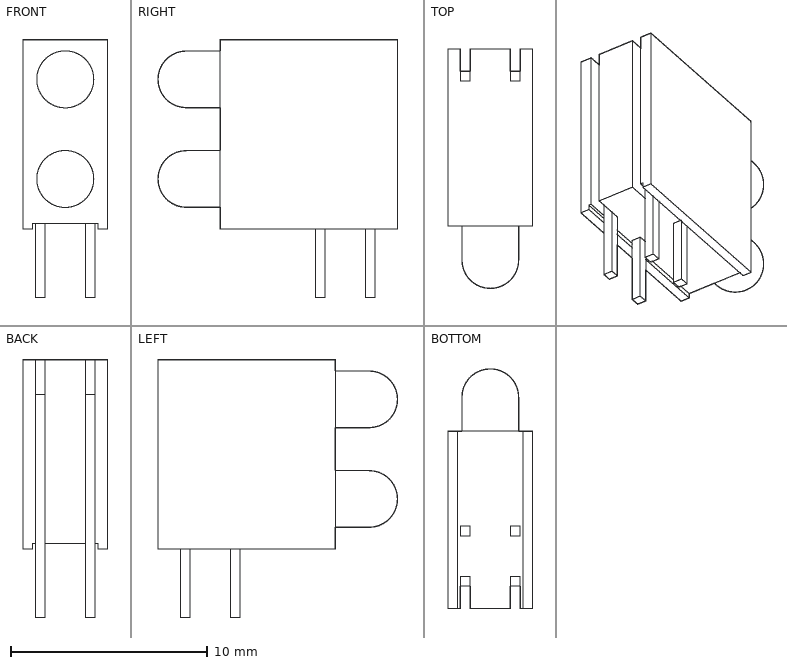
import cadquery as cq


width = 4.33
total_depth = 12.22
total_height = 13.15

led_diameter = 2.9
led_radius = led_diameter / 2
led_barrel = 1.72
led_pitch = 5.08
upper_led_below_top = 2.03

lead_size = 0.5
lead_pitch = 2.55
rear_lead_inset = 1.15

housing_height = 9.65
housing_depth = total_depth - led_barrel - led_radius
foot_width = 0.5
foot_height = 0.28
slot_depth = rear_lead_inset + lead_size

upper_led_z = total_height - upper_led_below_top
led_heights = (upper_led_z, upper_led_z - led_pitch)
housing_bottom = total_height - housing_height
recess_top = housing_bottom + foot_height
rear_lead_y = housing_depth - rear_lead_inset - lead_size / 2
front_lead_y = rear_lead_y - lead_pitch
lead_sides = (-lead_pitch / 2, lead_pitch / 2)


def block(size_x, size_y, size_z, center_x, center_y, bottom_z):
    """Box centred in X and Y that stands on bottom_z."""
    return (
        cq.Workplane("XY", origin=(center_x, center_y, bottom_z))
        .box(size_x, size_y, size_z, centered=(True, True, False))
    )


def make_housing():
    """Block with a foot along each side and two full-height slots in the rear face."""
    mid_y = housing_depth / 2
    housing = block(width, housing_depth, housing_height, 0, mid_y, housing_bottom)
    recess_width = width - 2 * foot_width
    housing = housing.cut(block(recess_width, housing_depth, foot_height, 0, mid_y, housing_bottom))
    slot_y = housing_depth - slot_depth / 2
    for x in lead_sides:
        housing = housing.cut(block(lead_size, slot_depth, housing_height, x, slot_y, housing_bottom))
    return housing


def make_led(z):
    """Barrel with a hemispherical dome, revolved about its axis along Y."""
    return (
        cq.Workplane("XY", origin=(0, 0, z))
        .lineTo(led_radius, 0)
        .lineTo(led_radius, -led_barrel)
        .radiusArc((0, -led_barrel - led_radius), led_radius)
        .close()
        .revolve(360, (0, 0, 0), (0, 1, 0))
    )


def make_rear_lead(x):
    """Lead lying in a slot, with its outer top corner rounded where it turns into the housing."""
    front_y = rear_lead_y - lead_size / 2
    lead_top = upper_led_z + lead_size / 2
    bend_start = lead_top - lead_size
    return (
        cq.Workplane("YZ", origin=(x - lead_size / 2, 0, 0))
        .moveTo(front_y, 0)
        .lineTo(front_y + lead_size, 0)
        .lineTo(front_y + lead_size, bend_start)
        .radiusArc((front_y, lead_top), -lead_size)
        .close()
        .extrude(lead_size)
    )


result = make_housing()
for led_z in led_heights:
    result = result.union(make_led(led_z))
for lead_x in lead_sides:
    result = result.union(make_rear_lead(lead_x))
    result = result.union(block(lead_size, lead_size, recess_top, lead_x, front_lead_y, 0))